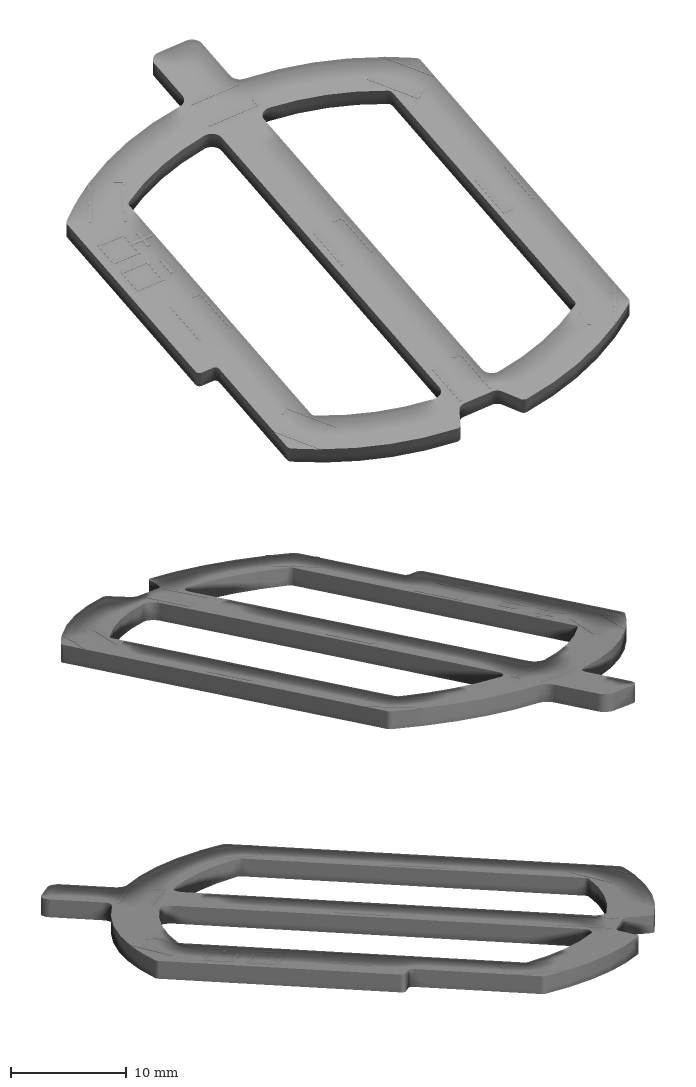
import cadquery as cq
import math

BOARD_THICKNESS = 1.6
SILKSCREEN_HEIGHT = 0.04
TOP_Y = 17.44
BOTTOM_Y = -17.24
LEDGE_BOTTOM_Y = -19.15
LEDGE_RIGHT_X = 5.8
OUTER_CORNER_RADIUS = 0.5
LEDGE_CORNER_RADIUS = 0.4

SIDE_CENTER_OFFSET = 5.38
OUTER_SIDE_RADIUS = 28.77
SIDE_RAIL_WIDTH = 4.15
INNER_SIDE_RADIUS = OUTER_SIDE_RADIUS - SIDE_RAIL_WIDTH

OPENING_TOP_Y = 13.28
OPENING_BOTTOM_Y = -13.36
BAR_TOP_Y = 2.1
BAR_BOTTOM_Y = -2.2
BAR_CORNER_RADIUS = 1.0
RAIL_CORNER_RADIUS = 0.5

TAB_LEFT_X = -29.83
TAB_WIDTH = 4.8
TAB_CORNER_RADIUS = 1.0
TAB_ROOT_RADIUS = 1.0

NOTCH_FLOOR_X = 20.84
NOTCH_FLOOR_HALF_WIDTH = 1.93
NOTCH_FLANK_ANGLE = 28.0
NOTCH_FLOOR_RADIUS = 0.9
NOTCH_MOUTH_RADIUS = 0.5

LINE_WIDTH = 0.15
LED_LINE_LENGTH = 4.8
LED_LINE_SPACING = 3.04
LED_TICK_OVERHANG = 0.15
LED_TICK_LENGTH = 0.95
DIAGONAL_LED_X = 16.33
DIAGONAL_LED_Y = 14.82
DIAGONAL_LED_ANGLE = 30
RAIL_LED_Y = 15.3
LEFT_LED_X = -21.34
MIDDLE_LED_X = -1.6
RIGHT_LED_X = 18.04
LEDS = [
    (-DIAGONAL_LED_X, -DIAGONAL_LED_Y, -DIAGONAL_LED_ANGLE),
    (LEFT_LED_X, 0, -90),
    (-DIAGONAL_LED_X, DIAGONAL_LED_Y, 180 + DIAGONAL_LED_ANGLE),
    (0, RAIL_LED_Y, 180),
    (DIAGONAL_LED_X, DIAGONAL_LED_Y, 180 - DIAGONAL_LED_ANGLE),
    (RIGHT_LED_X, 0, 0),
    (MIDDLE_LED_X, 0, 0),
    (DIAGONAL_LED_X, -DIAGONAL_LED_Y, DIAGONAL_LED_ANGLE),
    (0, -RAIL_LED_Y, 0),
]
PLUS_PAD_X = -10.88
MINUS_PAD_X = -6.97
PAD_Y = -16.94
PAD_SIZE = 2.54
SIGN_Y = -14.52
SIGN_LENGTH = 1.95
SIGN_WIDTH = 0.3


def block(x_min, x_max, y_min, y_max):
    """Box of the board's thickness between the given limits."""
    corner = cq.Workplane("XY").moveTo(x_min, y_min)
    return corner.rect(x_max - x_min, y_max - y_min, centered=False).extrude(BOARD_THICKNESS)


def side_x(radius, y):
    """Distance from the Y axis to a curved side at the given Y."""
    return math.sqrt(radius**2 - y**2) - SIDE_CENTER_OFFSET


def lens(radius, y_min, y_max):
    """Plate between the two curved sides, cut straight at y_min and y_max."""
    left_arc_disc = cq.Workplane("XY").center(SIDE_CENTER_OFFSET, 0).circle(radius).extrude(BOARD_THICKNESS)
    right_arc_disc = cq.Workplane("XY").center(-SIDE_CENTER_OFFSET, 0).circle(radius).extrude(BOARD_THICKNESS)
    return left_arc_disc.intersect(right_arc_disc).intersect(block(-radius, radius, y_min, y_max))


def round_corners(body, points, radius):
    """Fillet the upright edge nearest to each point."""
    for x, y in points:
        nearest = cq.selectors.NearestToPointSelector((x, y, BOARD_THICKNESS / 2))
        body = body.edges("|Z").edges(nearest).fillet(radius)
    return body


def make_outline():
    """Board with its lower ledge."""
    ledge_trim = block(LEDGE_RIGHT_X, OUTER_SIDE_RADIUS, LEDGE_BOTTOM_Y, BOTTOM_Y)
    board = lens(OUTER_SIDE_RADIUS, LEDGE_BOTTOM_Y, TOP_Y).cut(ledge_trim)
    top_x = side_x(OUTER_SIDE_RADIUS, TOP_Y)
    bottom_x = side_x(OUTER_SIDE_RADIUS, BOTTOM_Y)
    ledge_left_x = -side_x(OUTER_SIDE_RADIUS, LEDGE_BOTTOM_Y)
    outer_corners = [(-top_x, TOP_Y), (top_x, TOP_Y), (bottom_x, BOTTOM_Y), (ledge_left_x, LEDGE_BOTTOM_Y)]
    board = round_corners(board, outer_corners, OUTER_CORNER_RADIUS)
    ledge_corners = [(LEDGE_RIGHT_X, LEDGE_BOTTOM_Y), (LEDGE_RIGHT_X, BOTTOM_Y)]
    return round_corners(board, ledge_corners, LEDGE_CORNER_RADIUS)


def add_tab(board):
    """Join the rounded tab to the left side."""
    half_width = TAB_WIDTH / 2
    board = board.union(block(TAB_LEFT_X, -INNER_SIDE_RADIUS + SIDE_CENTER_OFFSET, -half_width, half_width))
    root_x = -side_x(OUTER_SIDE_RADIUS, half_width)
    board = round_corners(board, [(TAB_LEFT_X, y) for y in (-half_width, half_width)], TAB_CORNER_RADIUS)
    return round_corners(board, [(root_x, y) for y in (-half_width, half_width)], TAB_ROOT_RADIUS)


def notch_mouth():
    """Corner where the upper notch flank meets the outer side."""
    dx = math.cos(math.radians(NOTCH_FLANK_ANGLE))
    dy = math.sin(math.radians(NOTCH_FLANK_ANGLE))
    from_center_x = NOTCH_FLOOR_X + SIDE_CENTER_OFFSET
    from_center_y = NOTCH_FLOOR_HALF_WIDTH
    along = from_center_x * dx + from_center_y * dy
    gap = OUTER_SIDE_RADIUS**2 - from_center_x**2 - from_center_y**2
    distance = math.sqrt(along**2 + gap) - along
    return NOTCH_FLOOR_X + distance * dx, NOTCH_FLOOR_HALF_WIDTH + distance * dy


def cut_notch(board):
    """Cut the flared notch into the right side."""
    outside_x = OUTER_SIDE_RADIUS
    rise = (outside_x - NOTCH_FLOOR_X) * math.tan(math.radians(NOTCH_FLANK_ANGLE))
    outside_y = NOTCH_FLOOR_HALF_WIDTH + rise
    corners = [
        (NOTCH_FLOOR_X, -NOTCH_FLOOR_HALF_WIDTH),
        (outside_x, -outside_y),
        (outside_x, outside_y),
        (NOTCH_FLOOR_X, NOTCH_FLOOR_HALF_WIDTH),
    ]
    board = board.cut(cq.Workplane("XY").polyline(corners).close().extrude(BOARD_THICKNESS))
    mouth_x, mouth_y = notch_mouth()
    board = round_corners(board, [(mouth_x, -mouth_y), (mouth_x, mouth_y)], NOTCH_MOUTH_RADIUS)
    return round_corners(board, [corners[0], corners[-1]], NOTCH_FLOOR_RADIUS)


def make_opening(bar_y, rail_y):
    """Through opening between the middle bar and the top or bottom rail."""
    opening = lens(INNER_SIDE_RADIUS, min(bar_y, rail_y), max(bar_y, rail_y))
    for y, radius in ((bar_y, BAR_CORNER_RADIUS), (rail_y, RAIL_CORNER_RADIUS)):
        x = side_x(INNER_SIDE_RADIUS, y)
        opening = round_corners(opening, [(-x, y), (x, y)], radius)
    return opening


def bar_mark(x, y, length_x, length_y):
    """Straight raised mark on the board's top face."""
    top_face = cq.Workplane("XY").workplane(offset=BOARD_THICKNESS)
    return top_face.center(x, y).rect(length_x, length_y).extrude(SILKSCREEN_HEIGHT)


def led_marks():
    """Two lines beside an LED, the upper one with a tick at its left end."""
    line_y = LED_LINE_SPACING / 2
    tick_x = -LED_LINE_LENGTH / 2 - LED_TICK_OVERHANG
    lower_line = bar_mark(0, -line_y, LED_LINE_LENGTH, LINE_WIDTH)
    upper_line = bar_mark(-LED_TICK_OVERHANG / 2, line_y, LED_LINE_LENGTH + LED_TICK_OVERHANG, LINE_WIDTH)
    tick = bar_mark(tick_x, line_y - (LED_TICK_LENGTH - LINE_WIDTH) / 2, LINE_WIDTH, LED_TICK_LENGTH)
    return [lower_line, upper_line.union(tick)]


def pad_frame(x):
    """Square frame around a solder pad."""
    outer = bar_mark(x, PAD_Y, PAD_SIZE + LINE_WIDTH, PAD_SIZE + LINE_WIDTH)
    return outer.cut(bar_mark(x, PAD_Y, PAD_SIZE - LINE_WIDTH, PAD_SIZE - LINE_WIDTH))


def add_silkscreen(board):
    """Raise the marks above the top face, trimmed to the board's outline."""
    marks = [pad_frame(PLUS_PAD_X), pad_frame(MINUS_PAD_X)]
    marks += [bar_mark(x, SIGN_Y, SIGN_LENGTH, SIGN_WIDTH) for x in (PLUS_PAD_X, MINUS_PAD_X)]
    marks.append(bar_mark(PLUS_PAD_X, SIGN_Y, SIGN_WIDTH, SIGN_LENGTH))
    for x, y, angle in LEDS:
        marks += [mark.rotate((0, 0, 0), (0, 0, 1), angle).translate((x, y, 0)) for mark in led_marks()]
    trim = board.translate((0, 0, SILKSCREEN_HEIGHT))
    for mark in marks:
        board = board.union(mark.intersect(trim))
    return board


board = cut_notch(add_tab(make_outline()))
board = board.cut(make_opening(BAR_TOP_Y, OPENING_TOP_Y))
board = board.cut(make_opening(BAR_BOTTOM_Y, OPENING_BOTTOM_Y))
result = add_silkscreen(board)